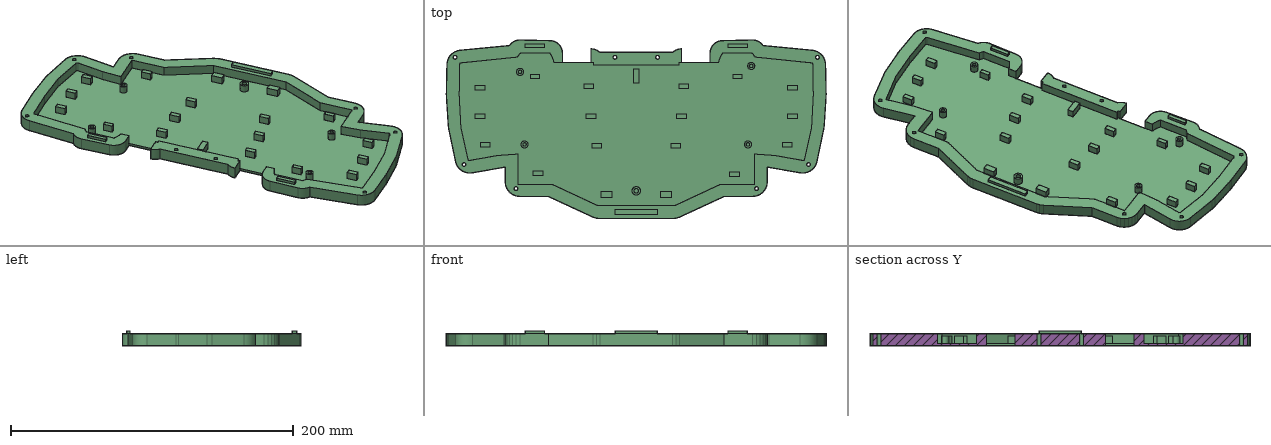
import cadquery as cq
import math

FLOOR_TOP = 1.8
POST_TOP = 7.0
WALL_TOP = 8.6
TAB_TOP = 10.6

FLOOR_BACK = 47.3
OUTER_FRONT = -63.22
OUTER_BACK = 63.32
OUTER_CORNER_RADIUS = 9.0
SIDE_CORNER_RADIUS = 10.5
SIDE_BEND_RADIUS = 25.0
STEP_CORNER_RADIUS = 10.7
FRONT_CORNER_RADIUS = 12.0
INNER_CORNER_RADIUS = 1.0
WALL_END_X = 52.1

OUTER_CORNERS = [
    (WALL_END_X, FLOOR_BACK, 0, 0),
    (WALL_END_X, 62.6, OUTER_CORNER_RADIUS, 0),
    (86.9, OUTER_BACK, OUTER_CORNER_RADIUS, 0),
    (89.7, 59.3, 0, 0),
    (133.75, 55.1, SIDE_CORNER_RADIUS, 0),
    (134.37, 24.4, SIDE_BEND_RADIUS, 0),
    (132.95, 1.7, SIDE_BEND_RADIUS, 0),
    (125.8, -32.6, SIDE_CORNER_RADIUS, 0),
    (93.9, -27.0, 0, 0),
    (92.8, -26.9, 0, 0),
    (92.8, -47.6, STEP_CORNER_RADIUS, 6),
    (62.1, -47.6, 0, 0),
    (28.3, OUTER_FRONT, FRONT_CORNER_RADIUS, 2),
]
CAVITY_CORNERS = [
    (82.1, 53.8, INNER_CORNER_RADIUS, 0),
    (84.0, 51.1, 0, 0),
    (124.8, 46.9, INNER_CORNER_RADIUS, 0),
    (125.2, 24.0, 0, 0),
    (124.0, 1.5, 0, 0),
    (118.8, -22.2, INNER_CORNER_RADIUS, 0),
    (97.9, -18.5, 0, 0),
    (83.55, -17.5, 0, 0),
    (83.55, -39.0, 0, 0),
    (59.3, -39.0, 0, 0),
    (27.6, -53.8, 0, 0),
]
WALL_END_CURVE = [(58.2, FLOOR_BACK), (59.4, 51.0), (61.1, 53.8)]

BLOCK_HALF_WIDTH = 32.0
BLOCK_BACK = 54.5
BLOCK_FRONT = 45.65
BLOCK_STEP_HALF_WIDTH = 30.4
EAR_RADIUS = 9.0
EAR_CENTRE_Y = 48.0

HOLE_DIAMETER = 2.5
HOLES = [(128.1, 50.9), (121.8, -24.9), (85.05, -41.9), (15.1, 50.9)]

POST_SIZE = (7.0, 3.2)
POSTS = [
    (110.6, 29.5),
    (110.6, 9.4),
    (106.8, -10.9),
    (33.6, 30.4),
    (31.9, 9.4),
    (27.9, -11.6),
]
STEP_POSTS = [(69.5, -31.8), (-69.5, -31.0)]
TAB_POST_SIZE = (6.6, 2.8)
TAB_POST = (71.6, 37.4)
FRONT_POST_SIZE = (8.0, 4.2)
FRONT_POST = (21.1, -46.1)
BACK_POST_SIZE = (4.2, 10.0)
BACK_POST = (0, 37.6)

BOSS_DIAMETER = 5.0
BOSS_BORE = 2.5
BOSSES = [(-82.2, 40.6), (81.3, 44.8), (-79.0, -10.7), (79.0, -10.7)]
FRONT_BOSS_DIAMETER = 6.0
FRONT_BOSS_BORE = 3.2
FRONT_BOSS = (0, -43.5)

BACK_TAB_SIZE = (13.8, 2.5)
BACK_TAB = (71.7, 59.0)
FRONT_TAB_SIZE = (30.0, 3.5)
FRONT_TAB = (0, -58.5)


def mirrored(points):
    return [(side * x, y) for x, y in points for side in (1, -1)]


def unit(start, end):
    length = math.dist(start, end)
    return ((end[0] - start[0]) / length, (end[1] - start[1]) / length)


def rounding_points(before, corner, after, radius, count):
    """Points dividing the arc that rounds a corner into count equal steps."""
    back = unit(corner, before)
    ahead = unit(corner, after)
    half_angle = math.acos(back[0] * ahead[0] + back[1] * ahead[1]) / 2
    middle = unit((0, 0), (back[0] + ahead[0], back[1] + ahead[1]))
    reach = radius / math.sin(half_angle)
    centre = (corner[0] + middle[0] * reach, corner[1] + middle[1] * reach)
    setback = radius / math.tan(half_angle)
    start = (corner[0] + back[0] * setback, corner[1] + back[1] * setback)
    turn = math.pi - 2 * half_angle
    if back[0] * ahead[1] - back[1] * ahead[0] > 0:
        turn = -turn
    first = math.atan2(start[1] - centre[1], start[0] - centre[0])
    angles = [first + turn * i / count for i in range(count + 1)]
    return [(centre[0] + radius * math.cos(a), centre[1] + radius * math.sin(a)) for a in angles]


def add_corners(path, corners, before, after):
    """Continue a path through corners, rounding each as asked."""
    places = [before] + [corner[:2] for corner in corners] + [after]
    for i, (x, y, radius, facets) in enumerate(corners):
        if radius == 0:
            path = path.lineTo(x, y)
            continue
        points = rounding_points(places[i], (x, y), places[i + 2], radius, facets or 2)
        path = path.lineTo(*points[0])
        if facets:
            for point in points[1:]:
                path = path.lineTo(*point)
        else:
            path = path.threePointArc(points[1], points[2])
    return path


def both_halves(half, height, bottom=0.0):
    """Extrude a right-half outline together with its mirror image."""
    right = half.close().extrude(height).translate((0, 0, bottom))
    return right.union(right.mirror("YZ"))


def outer_prism(height):
    path = cq.Workplane("XY").moveTo(0, FLOOR_BACK)
    path = add_corners(path, OUTER_CORNERS, (0, FLOOR_BACK), (0, OUTER_FRONT))
    return both_halves(path.lineTo(0, OUTER_FRONT), height)


def cavity():
    front = CAVITY_CORNERS[-1][1]
    path = cq.Workplane("XY").moveTo(0, FLOOR_BACK).lineTo(*WALL_END_CURVE[0])
    path = path.threePointArc(*WALL_END_CURVE[1:])
    path = add_corners(path, CAVITY_CORNERS, WALL_END_CURVE[-1], (0, front))
    return both_halves(path.lineTo(0, front), WALL_TOP - FLOOR_TOP, FLOOR_TOP)


def back_block():
    """Block on the back edge, with a small rounded ear at each end."""
    ear_top = EAR_CENTRE_Y + EAR_RADIUS
    ear_rise = BLOCK_BACK - EAR_CENTRE_Y
    ear_foot_x = BLOCK_HALF_WIDTH - math.sqrt(EAR_RADIUS**2 - ear_rise**2)
    ear_angle = (math.asin(ear_rise / EAR_RADIUS) + math.pi / 2) / 2
    ear_middle = (
        BLOCK_HALF_WIDTH - EAR_RADIUS * math.cos(ear_angle),
        EAR_CENTRE_Y + EAR_RADIUS * math.sin(ear_angle),
    )
    half = (
        cq.Workplane("XY")
        .moveTo(0, BLOCK_FRONT)
        .lineTo(BLOCK_STEP_HALF_WIDTH, BLOCK_FRONT)
        .lineTo(BLOCK_STEP_HALF_WIDTH, FLOOR_BACK)
        .lineTo(BLOCK_HALF_WIDTH, FLOOR_BACK)
        .lineTo(BLOCK_HALF_WIDTH, ear_top)
        .threePointArc(ear_middle, (ear_foot_x, BLOCK_BACK))
        .lineTo(0, BLOCK_BACK)
    )
    return both_halves(half, WALL_TOP)


def bars(places, size, bottom, top):
    return cq.Workplane("XY").workplane(offset=bottom).pushPoints(places).rect(*size).extrude(top - bottom)


def cylinders(places, diameter, bottom, top):
    level = cq.Workplane("XY").workplane(offset=bottom)
    return level.pushPoints(places).circle(diameter / 2).extrude(top - bottom)


def bosses(places, diameter, bore):
    """Hollow bosses, bored down to the floor."""
    outside = cylinders(places, diameter, FLOOR_TOP, POST_TOP)
    return outside.cut(cylinders(places, bore, FLOOR_TOP, POST_TOP))


result = outer_prism(WALL_TOP).cut(cavity()).union(back_block())
result = result.cut(cylinders(mirrored(HOLES), HOLE_DIAMETER, 0, WALL_TOP))

result = result.union(bars(mirrored(POSTS) + STEP_POSTS, POST_SIZE, FLOOR_TOP, POST_TOP))
result = result.union(bars(mirrored([TAB_POST]), TAB_POST_SIZE, FLOOR_TOP, POST_TOP))
result = result.union(bars(mirrored([FRONT_POST]), FRONT_POST_SIZE, FLOOR_TOP, POST_TOP))
result = result.union(bars([BACK_POST], BACK_POST_SIZE, FLOOR_TOP, POST_TOP))

result = result.union(bosses(BOSSES, BOSS_DIAMETER, BOSS_BORE))
result = result.union(bosses([FRONT_BOSS], FRONT_BOSS_DIAMETER, FRONT_BOSS_BORE))

result = result.union(bars(mirrored([BACK_TAB]), BACK_TAB_SIZE, WALL_TOP, TAB_TOP))
result = result.union(bars([FRONT_TAB], FRONT_TAB_SIZE, WALL_TOP, TAB_TOP))